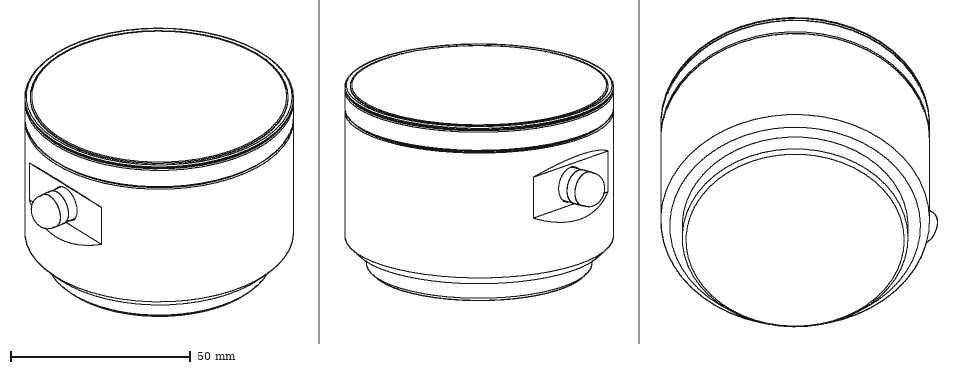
import cadquery as cq
import math

outer_radius = 75.0 / 2
total_height = 53.3
overall_depth = 81.6

neck_radius = 63.0 / 2
neck_chamfer = 1.1
neck_height = 6.45
base_chamfer = 2.5
housing_top = 45.6

groove_radius = 73.3 / 2
groove_height = 0.5
edge_chamfer = 0.3

bezel_thickness = 0.7
bezel_outer_chamfer = 0.4
bezel_slope_width = 0.65
bezel_slope_drop = 0.2
cover_radius = 36.0
cover_chamfer = 0.4

flat_chord = 31.5
flat_height = 12.0
connector_z = 31.5

connector_radius = 9.6 / 2
collar_radius = 9.8 / 2
socket_radius = 10.1 / 2
socket_depth = 2.45
collar_start = 2.9
collar_length = 2.9
dome_start = 6.9
tip_radius = 4.1 / 2
tip_rise = 0.1

ring_bottom = housing_top + groove_height
bezel_bottom = total_height - bezel_thickness
ring_top = bezel_bottom - groove_height
flat_distance = math.sqrt(outer_radius**2 - (flat_chord / 2) ** 2)
connector_reach = overall_depth - outer_radius - flat_distance


def disc(radius, bottom, top):
    """Cylinder on the Z axis between two heights."""
    return cq.Workplane("XY").workplane(offset=bottom).circle(radius).extrude(top - bottom)


def flat_recess():
    """Trapezoidal cutter along X whose flanks open outwards at 45 degrees."""
    depth = outer_radius - flat_distance
    half_inner = flat_height / 2
    half_outer = half_inner + depth
    return (
        cq.Workplane("YZ")
        .moveTo(-flat_distance, connector_z - half_inner)
        .lineTo(-outer_radius, connector_z - half_outer)
        .lineTo(-outer_radius, connector_z + half_outer)
        .lineTo(-flat_distance, connector_z + half_inner)
        .close()
        .extrude(outer_radius, both=True)
    )


def on_flat():
    """Sketch plane on the recess flat; its normal points along -Y."""
    return cq.Workplane("XZ", origin=(0, -flat_distance, connector_z))


def make_housing():
    neck = disc(neck_radius, 0, neck_height).faces("<Z").chamfer(neck_chamfer)
    barrel = disc(outer_radius, neck_height, housing_top).faces("<Z").chamfer(base_chamfer)
    groove_floor = disc(groove_radius, housing_top, ring_bottom)
    socket = on_flat().circle(socket_radius).extrude(-socket_depth)
    return neck.union(barrel).union(groove_floor).cut(flat_recess()).cut(socket)


def make_ring():
    ring = disc(outer_radius, ring_bottom, ring_top).faces("<Z or >Z").chamfer(edge_chamfer)
    return ring.union(disc(groove_radius, ring_top, bezel_bottom))


def make_bezel():
    """Ring whose top slopes gently down to the cover inside a short flat band."""
    return (
        cq.Workplane("XZ")
        .moveTo(cover_radius, bezel_bottom)
        .lineTo(outer_radius, bezel_bottom)
        .lineTo(outer_radius, total_height - bezel_outer_chamfer)
        .lineTo(outer_radius - bezel_outer_chamfer, total_height)
        .lineTo(cover_radius + bezel_slope_width, total_height)
        .lineTo(cover_radius, total_height - bezel_slope_drop)
        .close()
        .revolve(360, (0, 0, 0), (0, 1, 0))
    )


def make_cover():
    plate = disc(cover_radius, bezel_bottom, total_height)
    return plate.faces(">Z").chamfer(cover_chamfer)


def make_connector():
    """Turned plug: the profile holds radius and distance outwards from the flat."""
    collar_end = collar_start + collar_length
    dome_end = connector_reach - tip_rise
    dome_height = dome_end - dome_start
    dome_width = connector_radius - tip_radius
    dome_middle = (
        tip_radius + dome_width * math.sqrt(0.5),
        dome_start + dome_height * math.sqrt(0.5),
    )
    profile = (
        cq.Workplane("XY", origin=(0, -flat_distance, connector_z))
        .moveTo(0, socket_depth)
        .lineTo(connector_radius, socket_depth)
        .lineTo(connector_radius, -collar_start)
        .lineTo(collar_radius, -collar_start)
        .lineTo(collar_radius, -collar_end)
        .lineTo(connector_radius, -collar_end)
        .lineTo(connector_radius, -dome_start)
        .threePointArc((dome_middle[0], -dome_middle[1]), (tip_radius, -dome_end))
        .lineTo(0, -connector_reach)
        .close()
    )
    return profile.revolve(360, (0, 0, 0), (0, 1, 0))


housing = make_housing()
ring = make_ring()
bezel = make_bezel()
cover = make_cover()
connector = make_connector()

result = cq.Compound.makeCompound(
    [housing.val(), ring.val(), bezel.val(), cover.val(), connector.val()]
)